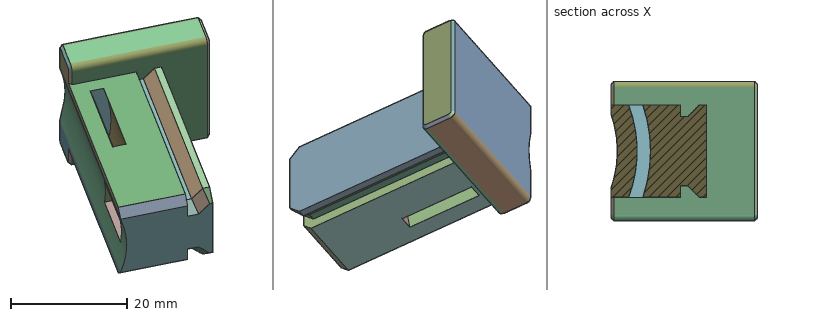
import cadquery as cq

overall_length = 39.0

head_length = 6.6
head_depth = 25.2
head_height = 24.0
head_fillet = 1.0
head_chamfer = 0.5

shank_half_height = 7.95
shank_depth = 16.45
block_depth = 11.97
block_chamfer = 1.5

crest_width = 1.25
wall_run = 2.0
groove_depth = 2.0
lead_in_length = 2.0
lead_in_shift = 0.7

channel_half_width = 6.3
channel_depth = 1.1
channel_radius = (channel_half_width**2 + channel_depth**2) / (2 * channel_depth)
channel_axis_y = channel_depth - channel_radius

channel_to_slot = 3.45
slot_start = 8.95
slot_length = 14.1
slot_inner_radius = channel_radius + channel_to_slot
slot_width = 2.25

pocket_start = 25.55
pocket_length = 10.05
pocket_height = 5.0
pocket_floor_y = 7.02


def cylinder_along_x(radius, start, length):
    """Cylinder on the channel axis, starting at X = start."""
    return cq.Workplane("YZ", origin=(start, channel_axis_y, 0)).circle(radius).extrude(length)


def make_head():
    head = cq.Workplane("XY").box(head_length, head_depth, head_height, centered=(False, False, True))
    head = head.edges("|Y").fillet(head_fillet)
    return head.faces("<Y or >Y").chamfer(head_chamfer)


def make_block():
    start = head_length / 2
    block = cq.Workplane("XY", origin=(start, 0, 0)).box(
        overall_length - start, block_depth, 2 * shank_half_height, centered=(False, False, True)
    )
    return block.faces(">X").edges("|Y").chamfer(block_chamfer)


def rail_profile(shift, drop):
    """Rail section with its groove moved toward +Y by shift and its surfaces lowered by drop."""
    crest_z = shank_half_height - drop
    floor_z = crest_z - groove_depth
    wall_top_y = shank_depth - crest_width + shift
    wall_foot_y = wall_top_y - wall_run
    upper = [
        (block_depth, floor_z),
        (wall_foot_y, floor_z),
        (wall_top_y, crest_z),
        (shank_depth, crest_z),
    ]
    lower = [(y, -z) for y, z in reversed(upper)]
    return upper + lower


def make_rail():
    straight_length = overall_length - lead_in_length
    straight_profile = rail_profile(0, 0)
    straight = cq.Workplane("YZ").polyline(straight_profile).close().extrude(straight_length)
    lead_in = (
        cq.Workplane("YZ", origin=(straight_length, 0, 0))
        .polyline(straight_profile)
        .close()
        .workplane(offset=lead_in_length)
        .polyline(rail_profile(lead_in_shift, lead_in_length))
        .close()
        .loft(ruled=True)
    )
    return straight.union(lead_in)


def make_strap_slot():
    outer = cylinder_along_x(slot_inner_radius + slot_width, slot_start, slot_length)
    ring = outer.cut(cylinder_along_x(slot_inner_radius, slot_start, slot_length))
    front_side = cq.Workplane("XY").box(
        overall_length, shank_depth, head_height, centered=(False, False, True)
    )
    return ring.intersect(front_side)


def make_pocket():
    return (
        cq.Workplane("XY", origin=(pocket_start, 0, 0))
        .box(pocket_length, pocket_floor_y, pocket_height, centered=(False, False, True))
    )


result = (
    make_head()
    .union(make_block())
    .union(make_rail())
    .cut(cylinder_along_x(channel_radius, 0, overall_length))
    .cut(make_strap_slot())
    .cut(make_pocket())
)